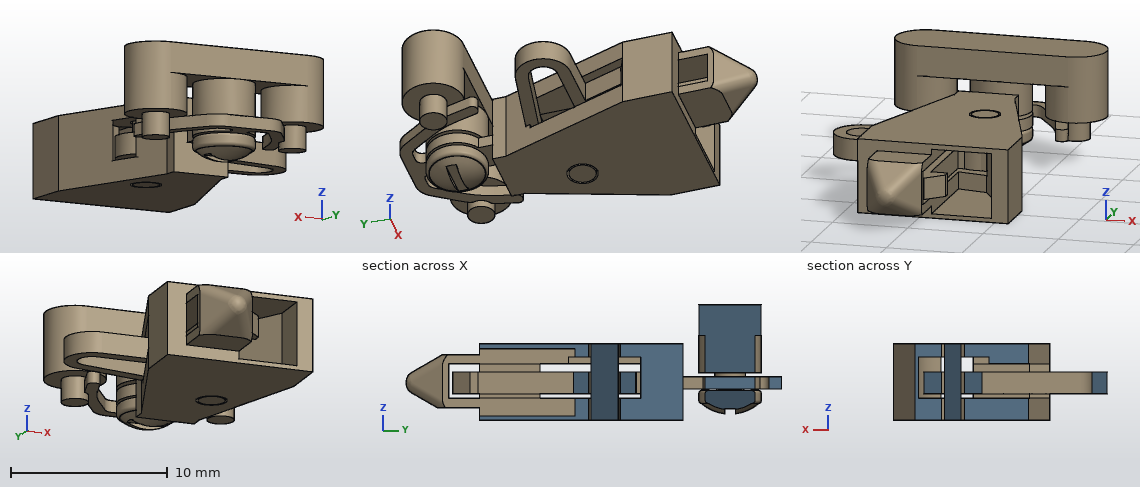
import cadquery as cq
import math


HOUSING_LENGTH = 13.0
HOUSING_HEIGHT = 4.9
FRONT_HALF_WIDTH = 5.0
BACK_HALF_WIDTH = 2.0
TAPER_FRONT_Y = 3.3
TAPER_BACK_Y = 12.11
TAPER_SLOPE = (FRONT_HALF_WIDTH - BACK_HALF_WIDTH) / (TAPER_BACK_Y - TAPER_FRONT_Y)

PROBE_LEFT = -3.7
PROBE_RIGHT = -0.1
PROBE_BOTTOM = 0.8
PROBE_TOP = 4.2
PROBE_STRAIGHT = 2.35
TIP_HALF_ANGLE = 30
TIP_RADIUS = 0.77
CHANNEL_FRONT_Y = -1.95

SOCKET_RIGHT = 3.89
SOCKET_BOTTOM = 0.29
SOCKET_TOP = 4.55
SOCKET_STRAIGHT = 2.55
SOCKET_BACK_X = 1.87
SOCKET_BACK_Y = 5.95
SOCKET_BACK_TILT = 10.5
SOCKET_BACK_LEFT_Y = SOCKET_BACK_Y + (SOCKET_BACK_X - PROBE_RIGHT) * math.tan(math.radians(SOCKET_BACK_TILT))

PIVOT_X = 1.2
PIVOT_Y = 8.0
PIVOT_DIAMETER = 1.75
PIVOT_HOLE_DIAMETER = 2.0
CAVITY_RADIUS = 2.3
CAVITY_TOP = 4.03
SLOT_BOTTOM = 1.42
SLOT_TOP = 3.6
SLOT_FRONT_SLOPE = 0.44
OUTSIDE_X = -2 * FRONT_HALF_WIDTH

LEVER_BOTTOM = 1.68
LEVER_TOP = 3.1
HUB_RADIUS = 2.0
LOOP_X = -7.0
LOOP_OUTER_RADIUS = 1.8
LOOP_INNER_RADIUS = 0.95
LOOP_TILT = 10
SPRING_END_X = -0.95
LEVER_INSET = 0.17
LEVER_FRONT_Y = 3.5
LATCH_LEFT = -2.05
BARB_RIGHT = 1.0
BARB_BACK_Y = -0.1
BARB_STRAIGHT = 0.5

BRACKET_Y = 16.0
BRACKET_LENGTH = 14.0
BRACKET_WIDTH = 4.0
BRACKET_TOP = 7.4
SLAB_BOTTOM = 5.4
POST_BOTTOM = 3.02
POST_PIN_DIAMETER = 1.75
POST_PIN_BOTTOM = 1.5
POST_X = (BRACKET_LENGTH - BRACKET_WIDTH) / 2
NECK_DIAMETER = 2.0

DRAWBAR_BOTTOM = 2.0
DRAWBAR_TOP = 2.78
EYE_HOLE_DIAMETER = 2.2
TONGUE_WIDTH = 2.0
TONGUE_OVERLAP = 1.0
BOW_TOP_Y = 19.29
BOW_TOP_HALF_WIDTH = 2.3
BOW_SHOULDER = (4.41, 16.15)
BOW_FOOT = (5.8, 11.04)
BOW_TIP_Y = 13.12
BOW_THICKNESS = 0.82
BOW_TOP_RADIUS = 1.45
BOW_SHOULDER_RADIUS = 7.2
BOW_TIP_RADIUS = 0.35
WEB_WIDTH = 1.2
WEB_RADIUS = 0.43

HEAD_DIAMETER = 4.0
HEAD_TOP = 1.92
HEAD_BOTTOM = 1.05
HEAD_RADIUS = 0.22
DOME_DIAMETER = 3.65
DOME_BOTTOM = 0.38
DRIVER_SLOT_WIDTH = 0.67
DRIVER_SLOT_TOP = 0.72
SHANK_DIAMETER = 1.49
SHANK_TOP = SLAB_BOTTOM


def level(z):
    """A drawing plane parallel to XY at height z."""
    return cq.Workplane("XY", origin=(0, 0, z))


def block(x_range, y_range, z_range):
    """A box between the given limits."""
    corner = (x_range[0], y_range[0], z_range[0])
    sizes = (x_range[1] - x_range[0], y_range[1] - y_range[0], z_range[1] - z_range[0])
    return cq.Workplane("XY").box(*sizes, centered=False).translate(corner)


def cylinder(x, y, radius, bottom, top):
    """An upright cylinder."""
    return level(bottom).center(x, y).circle(radius).extrude(top - bottom)


def prism(points, bottom, top):
    """An upright prism on a polygon."""
    return level(bottom).polyline(points).close().extrude(top - bottom)


def housing_side_x(y):
    """Distance of the tapered side faces from the middle plane."""
    return BACK_HALF_WIDTH + (TAPER_BACK_Y - y) * TAPER_SLOPE


def slot_front_y(x):
    """The slanted front wall of the lever slot."""
    return TAPER_FRONT_Y + SLOT_FRONT_SLOPE * (x + FRONT_HALF_WIDTH)


def make_tip(length):
    """A square pyramid with its apex at the origin, its slanted edges and its point rounded."""
    half = length * math.tan(math.radians(TIP_HALF_ANGLE))
    triangle = [(0, 0), (half, length), (-half, length)]
    flat_wedge = cq.Workplane("XY").polyline(triangle).close().extrude(half, both=True)
    upright_wedge = flat_wedge.rotate((0, 0, 0), (0, 1, 0), 90)
    return flat_wedge.intersect(upright_wedge).edges("not(|X or |Z)").fillet(TIP_RADIUS)


def make_probe():
    """A bar that ends in a rounded pyramid, which is as wide and high as the bar is wide."""
    half_width = (PROBE_RIGHT - PROBE_LEFT) / 2
    apex_y = -PROBE_STRAIGHT - half_width / math.tan(math.radians(TIP_HALF_ANGLE))
    bar = block((PROBE_LEFT, PROBE_RIGHT), (apex_y, 0), (PROBE_BOTTOM, PROBE_TOP))
    tip = make_tip(-2 * apex_y).translate((PROBE_LEFT + half_width, apex_y, PROBE_TOP - half_width))
    return bar.intersect(tip)


def make_socket():
    """The tapered pocket that takes a mating probe."""
    outline = [
        (PROBE_RIGHT, 0),
        (SOCKET_RIGHT, 0),
        (SOCKET_RIGHT, SOCKET_STRAIGHT),
        (SOCKET_BACK_X, SOCKET_BACK_Y),
        (PROBE_RIGHT, SOCKET_BACK_LEFT_Y),
    ]
    return prism(outline, SOCKET_BOTTOM, SOCKET_TOP)


def make_lever_space():
    """The round cavity about the pivot, and the slot that opens it to the side and into the probe."""
    cavity = cylinder(PIVOT_X, PIVOT_Y, CAVITY_RADIUS, SLOT_BOTTOM, CAVITY_TOP)
    cavity_left = PIVOT_X - CAVITY_RADIUS
    cavity_y_range = (PIVOT_Y - CAVITY_RADIUS, PIVOT_Y + CAVITY_RADIUS)
    cavity_side = block((cavity_left, PIVOT_X), cavity_y_range, (SLOT_BOTTOM, CAVITY_TOP))
    slot_outline = [
        (PIVOT_X, PIVOT_Y + CAVITY_RADIUS),
        (OUTSIDE_X, PIVOT_Y + CAVITY_RADIUS),
        (OUTSIDE_X, slot_front_y(OUTSIDE_X)),
        (PROBE_LEFT, slot_front_y(PROBE_LEFT)),
        (PROBE_LEFT, CHANNEL_FRONT_Y),
        (PROBE_RIGHT, CHANNEL_FRONT_Y),
        (PROBE_RIGHT, SOCKET_BACK_LEFT_Y),
        (PIVOT_X, PIVOT_Y - CAVITY_RADIUS),
    ]
    return cavity.union(cavity_side).union(prism(slot_outline, SLOT_BOTTOM, SLOT_TOP))


def make_housing(lever, drawbar):
    """The tapered box with the probe, hollowed for the socket, the lever, the pivot and the drawbar."""
    half_outline = [
        (FRONT_HALF_WIDTH, 0),
        (FRONT_HALF_WIDTH, TAPER_FRONT_Y),
        (BACK_HALF_WIDTH, TAPER_BACK_Y),
        (BACK_HALF_WIDTH, HOUSING_LENGTH),
    ]
    mirrored = [(-x, y) for x, y in reversed(half_outline)]
    housing = prism(half_outline + mirrored, 0, HOUSING_HEIGHT).union(make_probe())
    pivot_hole = cylinder(PIVOT_X, PIVOT_Y, PIVOT_HOLE_DIAMETER / 2, 0, HOUSING_HEIGHT)
    housing = housing.cut(make_socket()).cut(make_lever_space()).cut(pivot_hole)
    return housing.cut(lever).cut(drawbar)


def make_pivot():
    """The loose pin that the lever turns on."""
    return cylinder(PIVOT_X, PIVOT_Y, PIVOT_DIAMETER / 2, 0, HOUSING_HEIGHT)


def make_lever_loop():
    """The handle: a straight arm and a tilted spring arm, joined by a half ring."""

    def arm_outline(angle, end_x):
        """Corners of an arm that leaves the ring at the given angle and ends at end_x."""
        corners = []
        for radius in (LOOP_OUTER_RADIUS, LOOP_INNER_RADIUS):
            start = (LOOP_X + radius * math.cos(angle), PIVOT_Y + radius * math.sin(angle))
            rise = -(end_x - start[0]) / math.tan(angle)
            corners += [start, (end_x, start[1] + rise)]
        return [corners[0], corners[1], corners[3], corners[2]]

    spring_angle = math.radians(90 + LOOP_TILT)
    spring_arm = prism(arm_outline(spring_angle, SPRING_END_X), LEVER_BOTTOM, LEVER_TOP)
    straight_arm = prism(arm_outline(-math.pi / 2, PIVOT_X), LEVER_BOTTOM, LEVER_TOP)
    ring = cylinder(LOOP_X, PIVOT_Y, LOOP_OUTER_RADIUS, LEVER_BOTTOM, LEVER_TOP)
    reach = 2 * LOOP_OUTER_RADIUS
    far_up = (LOOP_X + reach * math.cos(spring_angle), PIVOT_Y + reach * math.sin(spring_angle))
    behind_ring = [(LOOP_X, PIVOT_Y), far_up, (LOOP_X + reach, PIVOT_Y + reach)]
    behind_ring += [(LOOP_X + reach, PIVOT_Y - reach), (LOOP_X, PIVOT_Y - reach)]
    half_ring = ring.cut(prism(behind_ring, LEVER_BOTTOM, LEVER_TOP))
    half_ring = half_ring.cut(cylinder(LOOP_X, PIVOT_Y, LOOP_INNER_RADIUS, LEVER_BOTTOM, LEVER_TOP))
    return half_ring.union(spring_arm).union(straight_arm)


def make_lever():
    """The latch lever: a hub on the pivot, the handle loop and the latch with its barb."""
    arm_y = PIVOT_Y - LOOP_OUTER_RADIUS
    barb_front_y = BARB_BACK_Y - BARB_STRAIGHT
    latch_front_y = barb_front_y - (BARB_RIGHT - PROBE_RIGHT)
    body_left = -housing_side_x(LEVER_FRONT_Y) + LEVER_INSET
    body_outline = [
        (-housing_side_x(arm_y) + LEVER_INSET, arm_y),
        (body_left, LEVER_FRONT_Y),
        (LATCH_LEFT, LEVER_FRONT_Y + SLOT_FRONT_SLOPE * (LATCH_LEFT - body_left)),
        (LATCH_LEFT, latch_front_y),
        (PROBE_RIGHT, latch_front_y),
        (BARB_RIGHT, barb_front_y),
        (BARB_RIGHT, BARB_BACK_Y),
        (PROBE_RIGHT, BARB_BACK_Y),
        (PROBE_RIGHT, SOCKET_BACK_LEFT_Y),
        (SOCKET_BACK_X, SOCKET_BACK_Y),
        (PIVOT_X, PIVOT_Y),
        (PIVOT_X - HUB_RADIUS, arm_y),
    ]
    body = prism(body_outline, LEVER_BOTTOM, LEVER_TOP)
    hub = cylinder(PIVOT_X, PIVOT_Y, HUB_RADIUS, LEVER_BOTTOM, LEVER_TOP)
    hole = cylinder(PIVOT_X, PIVOT_Y, PIVOT_HOLE_DIAMETER / 2, LEVER_BOTTOM, LEVER_TOP)
    return make_lever_loop().union(body).union(hub).cut(hole)


def make_post_pins():
    """The thinner ends of the two outer posts."""
    pin = cylinder(POST_X, BRACKET_Y, POST_PIN_DIAMETER / 2, POST_PIN_BOTTOM, POST_BOTTOM)
    return pin.union(pin.mirror("YZ"))


def make_bracket():
    """A rounded slab on three posts: the outer two end in pins, the middle one in a neck for the screw."""
    outline = level(POST_BOTTOM).center(0, BRACKET_Y).slot2D(BRACKET_LENGTH, BRACKET_WIDTH)
    bracket = outline.extrude(BRACKET_TOP - POST_BOTTOM)
    y_range = (BRACKET_Y - BRACKET_WIDTH / 2, BRACKET_Y + BRACKET_WIDTH / 2)
    gaps = block((-POST_X, POST_X), y_range, (POST_BOTTOM, SLAB_BOTTOM))
    for x in (-POST_X, 0, POST_X):
        gaps = gaps.cut(cylinder(x, BRACKET_Y, BRACKET_WIDTH / 2, POST_BOTTOM, SLAB_BOTTOM))
    neck = cylinder(0, BRACKET_Y, NECK_DIAMETER / 2, DRAWBAR_BOTTOM, POST_BOTTOM)
    shank_hole = cylinder(0, BRACKET_Y, SHANK_DIAMETER / 2, DRAWBAR_BOTTOM, SHANK_TOP)
    return bracket.cut(gaps).union(make_post_pins()).union(neck).cut(shank_hole)


def make_bow():
    """The spring bow: two arms of even thickness joined by an arch."""
    half_outline = [(BOW_TOP_HALF_WIDTH, BOW_TOP_Y), BOW_SHOULDER, BOW_FOOT]
    mirrored = [(-x, y) for x, y in reversed(half_outline)]
    thickness = DRAWBAR_TOP - DRAWBAR_BOTTOM
    outer = prism(half_outline + mirrored, DRAWBAR_BOTTOM, DRAWBAR_TOP)
    outer = outer.edges("|Z and >Y").fillet(BOW_TOP_RADIUS)
    for side in (-1, 1):
        shoulder = cq.selectors.NearestToPointSelector(
            (side * BOW_SHOULDER[0], BOW_SHOULDER[1], DRAWBAR_BOTTOM)
        )
        outer = outer.edges("|Z").edges(shoulder).fillet(BOW_SHOULDER_RADIUS)
    inner = level(DRAWBAR_BOTTOM).add(outer.faces("<Z").wires().vals()).toPending()
    inner = inner.offset2D(-BOW_THICKNESS).extrude(thickness)
    below_tips = block((OUTSIDE_X, -OUTSIDE_X), (0, BOW_TIP_Y), (DRAWBAR_BOTTOM, DRAWBAR_TOP))
    return outer.cut(inner).cut(below_tips)


def make_drawbar():
    """The swinging bar: an eye around the bracket's neck, a tongue to the housing and the spring bow."""
    bow = make_bow().edges("|Z and <Y").fillet(BOW_TIP_RADIUS)
    web_top = BOW_TOP_Y - BOW_THICKNESS
    height = (DRAWBAR_BOTTOM, DRAWBAR_TOP)
    web = block((-WEB_WIDTH / 2, WEB_WIDTH / 2), (BRACKET_Y, web_top), height)
    bow = bow.union(web)
    for side in (-1, 1):
        corner = (side * WEB_WIDTH / 2, web_top, (DRAWBAR_BOTTOM + DRAWBAR_TOP) / 2)
        bow = bow.edges(cq.selectors.NearestToPointSelector(corner)).fillet(WEB_RADIUS)
    tongue_range = (HOUSING_LENGTH - TONGUE_OVERLAP, BRACKET_Y)
    tongue = block((-TONGUE_WIDTH / 2, TONGUE_WIDTH / 2), tongue_range, height)
    eye = cylinder(0, BRACKET_Y, BRACKET_WIDTH / 2, *height)
    hole = cylinder(0, BRACKET_Y, EYE_HOLE_DIAMETER / 2, *height)
    return bow.union(eye).union(tongue).cut(hole).cut(make_post_pins())


def make_screw():
    """A round-edged, domed head with a driver slot, on a plain shank."""
    head = cylinder(0, BRACKET_Y, HEAD_DIAMETER / 2, HEAD_BOTTOM, HEAD_TOP).edges().fillet(HEAD_RADIUS)
    dome_edge = DOME_DIAMETER / 2
    dome_height = HEAD_BOTTOM - DOME_BOTTOM
    dome_radius = (dome_edge**2 + dome_height**2) / (2 * dome_height)
    ball = cq.Workplane("XY").sphere(dome_radius).translate((0, BRACKET_Y, DOME_BOTTOM + dome_radius))
    dome = ball.intersect(cylinder(0, BRACKET_Y, HEAD_DIAMETER / 2, DOME_BOTTOM, HEAD_BOTTOM))
    slot_y = (BRACKET_Y - DRIVER_SLOT_WIDTH / 2, BRACKET_Y + DRIVER_SLOT_WIDTH / 2)
    slot = block((-HEAD_DIAMETER, HEAD_DIAMETER), slot_y, (0, DRIVER_SLOT_TOP))
    shank = cylinder(0, BRACKET_Y, SHANK_DIAMETER / 2, HEAD_TOP, SHANK_TOP)
    return head.union(dome).cut(slot).union(shank)


lever = make_lever()
drawbar = make_drawbar()
housing = make_housing(lever, drawbar)
pivot = make_pivot()
bracket = make_bracket()
screw = make_screw()

bodies = [housing, lever, pivot, drawbar, bracket, screw]
result = cq.Compound.makeCompound([body.val() for body in bodies])